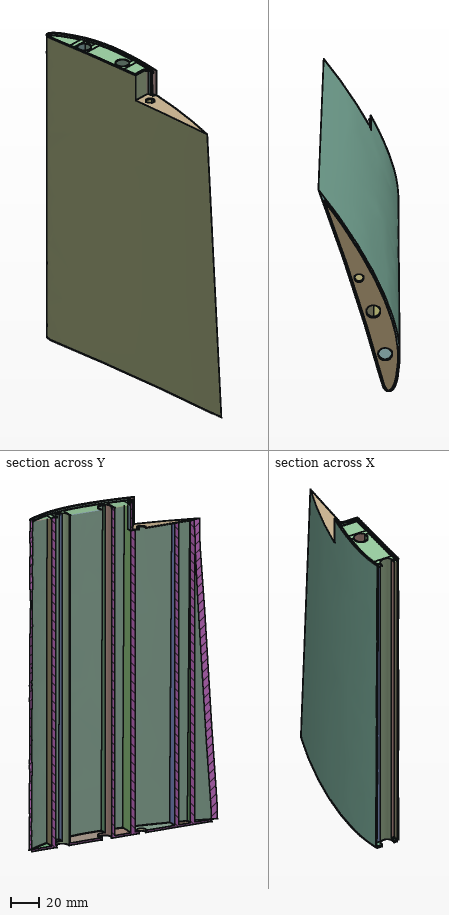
import cadquery as cq
import math

span = 251.5
chord = 170.0
tip_scale = 0.913
skin_wall = 1.38
half_depth = 30.2
joint_depth = 1.5

leading_edge = (0.0, 3.5)
trailing_edge = (chord, 3.8)
trailing_setback = 7.0
upper_points = [
    (1.8, 7.5), (5.5, 10.5), (14.5, 15.0), (20.5, 17.5), (32.7, 21.0), (44.8, 23.1), (60.3, 24.0),
    (87.3, 22.5), (105.4, 19.9), (123.7, 16.3), (141.8, 12.0),
]
lower_points = [
    (2.3, 0.8), (6.8, 0.0), (20.5, 0.8), (32.7, 1.5), (63.0, 2.8), (87.3, 3.5), (133.5, 4.0),
]

notch_floor = 230.8
notch_front = 86.2
notch_arc_start = (notch_front, 14.5)
notch_arc_middle = (87.8, 17.0)
notch_arc_end = (92.5, 18.4)
notch_wall = 1.8
notch_cap = 0.88

web_width = 3.8
hinge_web = notch_front - notch_wall
web_starts = [20.9, 32.5, 68.0, hinge_web, 119.5, 132.3]
frame_top = span - joint_depth
plate_thickness = 0.5

spar_radius = 5.0
pin_radius = 3.3
tube_holes = [(30.2, 9.68, spar_radius), (65.5, 11.95, spar_radius), (94.0, 10.3, pin_radius)]


def moved_inward(points, inset):
    """Inner points of a curve, moved to its right and square to the line joining their neighbours."""
    moved = []
    for (x0, y0), (x, y), (x1, y1) in zip(points, points[1:], points[2:]):
        length = math.hypot(x1 - x0, y1 - y0)
        moved.append((x + inset * (y1 - y0) / length, y - inset * (x1 - x0) / length))
    return moved


def section(z, inset):
    """Airfoil outline at height z, shrunk linearly toward the tip and moved inward by the inset."""
    scale = 1 - (1 - tip_scale) * (z - joint_depth) / (span - joint_depth)

    def scaled(points):
        return [(x * scale, y * scale) for x, y in points]

    front, back = scaled([leading_edge, trailing_edge])
    upper = moved_inward([front] + scaled(upper_points) + [back], inset)
    lower = moved_inward([back] + scaled(reversed(lower_points)) + [front], inset)
    front = (front[0] + inset, front[1])
    back = (back[0] - inset * trailing_setback, back[1] + inset)
    upper_tangents = [(0, 1)] + [None] * (len(upper) + 1)
    lower_tangents = [None] * (len(lower) + 1) + [(0, 1)]
    outline = (
        cq.Workplane("XY", origin=(0, 0, z))
        .moveTo(*front)
        .spline(upper + [back], tangents=upper_tangents, includeCurrent=True)
        .spline(lower + [front], tangents=lower_tangents, includeCurrent=True)
        .close()
    )
    return outline.val()


def lofted(bottom, top, inset):
    """Tapered airfoil solid between two heights."""
    return cq.Workplane(cq.Solid.makeLoft([section(bottom, inset), section(top, inset)], True))


def notch_zone(wall, cap):
    """Space of the notch, enlarged by a wall around its curved front and a cap under its floor."""
    return (
        cq.Workplane("XY")
        .workplane(offset=notch_floor - cap)
        .moveTo(notch_front, -half_depth)
        .lineTo(*notch_arc_start)
        .threePointArc(notch_arc_middle, notch_arc_end)
        .lineTo(notch_arc_end[0], half_depth)
        .lineTo(chord + wall, half_depth)
        .lineTo(chord + wall, -half_depth)
        .close()
        .extrude(span)
        .translate((-wall, -wall, 0))
    )


def slab(x_start, x_end, bottom, top):
    """Block deep enough in Y to cross the whole wing."""
    return cq.Workplane("XY").box(
        x_end - x_start, 2 * half_depth, top - bottom, centered=(False, True, False)
    ).translate((x_start, 0, bottom))


def drill_tubes(body):
    """Body with the tube holes cut along the whole span."""
    for x, y, radius in tube_holes:
        body = body.cut(cq.Workplane("XY").center(x, y).circle(radius).extrude(span))
    return body


def make_cavity():
    """Inside of the skin, open at both ends and closed at the notch."""
    return lofted(0, span, skin_wall).cut(notch_zone(notch_wall, notch_cap))


def make_skin(cavity):
    """Thin tapered shell with an open tip socket and a closed notch."""
    skin = lofted(joint_depth, span, 0).cut(cavity).cut(notch_zone(0, 0))
    return drill_tubes(skin)


def make_frame(cavity):
    """Plates and webs filling the cavity crosswise, with the root plate reaching out as a spigot."""
    root_top = joint_depth + plate_thickness
    frame = slab(0, chord, 0, root_top)
    frame = frame.union(slab(0, chord, frame_top - plate_thickness, frame_top))
    for start in web_starts:
        frame = frame.union(slab(start, start + web_width, 0, frame_top))
    return drill_tubes(frame.intersect(cavity))


cavity = make_cavity()
skin = make_skin(cavity)
frame = make_frame(cavity)

result = cq.Compound.makeCompound([skin.solids().val(), frame.solids().val()])